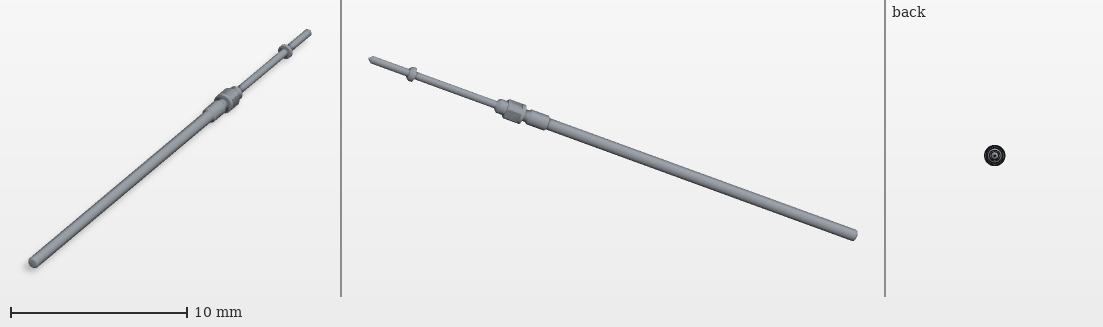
import cadquery as cq

ROD_R = 0.22
TIP_R = 0.04
STOP_R = 0.42
STOP_FRONT_R = 0.30
NOSE_R = 0.42
COLLAR_R = 0.575
COLLAR_FRONT_R = 0.50
NECK_R = 0.35
SLEEVE_R = 0.445
TUBE_R = 0.34

LENGTH = 30.4
TIP_Y = LENGTH / 2
TAIL_Y = -LENGTH / 2
TIP_CONE_LENGTH = 0.22
STOP_FRONT_Y = 12.72
STOP_CONE_LENGTH = 0.15
STOP_BACK_Y = 12.37
NOSE_FRONT_Y = 7.30
NOSE_CONE_LENGTH = 0.20
COLLAR_FRONT_Y = 6.67
COLLAR_BEVEL_LENGTH = 0.08
COLLAR_BACK_Y = 5.62
RIM_WIDTH = 0.20
SLEEVE_FRONT_Y = 5.30
SLEEVE_BACK_Y = 4.02
SLEEVE_BEVEL_LENGTH = 0.11
TAIL_FILLET_R = 0.17

FLAT_COUNT = 4
FLAT_DISTANCE = 0.48

RAMP_START_Y = 10.62
RAMP_END_Y = 9.25
RAMP_DEPTH = 0.02


def turned_body():
    """Revolve the stepped half profile about the Y axis."""
    radius_and_station = [
        (0, TIP_Y),
        (TIP_R, TIP_Y),
        (ROD_R, TIP_Y - TIP_CONE_LENGTH),
        (ROD_R, STOP_FRONT_Y),
        (STOP_FRONT_R, STOP_FRONT_Y),
        (STOP_R, STOP_FRONT_Y - STOP_CONE_LENGTH),
        (STOP_R, STOP_BACK_Y),
        (ROD_R, STOP_BACK_Y),
        (ROD_R, NOSE_FRONT_Y),
        (NOSE_R, NOSE_FRONT_Y - NOSE_CONE_LENGTH),
        (NOSE_R, COLLAR_FRONT_Y),
        (COLLAR_FRONT_R, COLLAR_FRONT_Y),
        (COLLAR_R, COLLAR_FRONT_Y - COLLAR_BEVEL_LENGTH),
        (COLLAR_R, COLLAR_BACK_Y),
        (NECK_R, COLLAR_BACK_Y),
        (NECK_R, SLEEVE_FRONT_Y),
        (SLEEVE_R, SLEEVE_FRONT_Y - SLEEVE_BEVEL_LENGTH),
        (SLEEVE_R, SLEEVE_BACK_Y + SLEEVE_BEVEL_LENGTH),
        (TUBE_R, SLEEVE_BACK_Y),
        (TUBE_R, TAIL_Y),
        (0, TAIL_Y),
    ]
    half_profile = [(y, radius) for radius, y in radius_and_station]
    body = cq.Workplane("YZ").polyline(half_profile).close().revolve(360, (0, 0), (1, 0))
    return body.faces("<Y").edges().fillet(TAIL_FILLET_R)


def cut_collar_flats(body):
    """Cut flats in front of the collar rim, evenly spaced about the axis."""
    rim_front_y = COLLAR_BACK_Y + RIM_WIDTH
    flat_length = COLLAR_FRONT_Y - rim_front_y
    cutter = cq.Workplane("XY").box(
        2 * COLLAR_R, flat_length, COLLAR_R, centered=(True, False, False)
    ).translate((0, rim_front_y, FLAT_DISTANCE))
    for index in range(FLAT_COUNT):
        angle = index * 360 / FLAT_COUNT
        body = body.cut(cutter.rotate((0, 0, 0), (0, 1, 0), angle))
    return body


def cut_rod_ramp(body):
    """Cut the ramp that deepens from the rod surface toward the collar."""
    ramp = (
        cq.Workplane("YZ")
        .polyline([(RAMP_START_Y, ROD_R), (RAMP_END_Y, ROD_R), (RAMP_END_Y, ROD_R - RAMP_DEPTH)])
        .close()
        .extrude(ROD_R, both=True)
    )
    return body.cut(ramp)


result = cut_rod_ramp(cut_collar_flats(turned_body()))